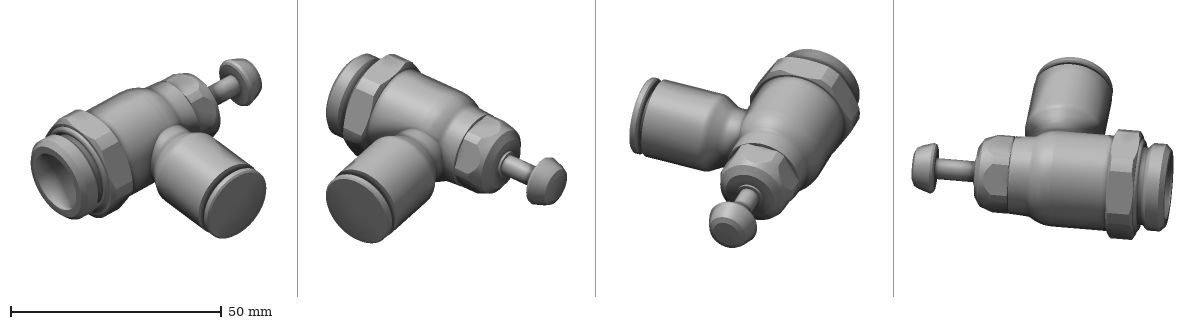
import cadquery as cq
import math


HEX_SIDES = 6

thread_end_y = -27.17
thread_radius = 10.45
thread_chamfer = 1.2
thread_length = 5.4
relief_radius = 9.25
bore_radius = 7.42
bore_depth = 20.0
seal_section_radius = 1.0
seal_centre_radius = 10.2
seal_protrusion = 0.85

hex_bottom_y = -20.04
hex_top_y = -13.6
hex_across_flats = 24.0
hex_corner_radius = 13.03
hex_chamfer_width = 1.08
hex_chamfer_angle = 30.0
hex_chamfer_height = hex_chamfer_width * math.tan(math.radians(hex_chamfer_angle))

body_radius = 22.8 / 2
shoulder_radius = 8.5
shoulder_length = 4.83
blend_length = 1.48
neck_base_radius = 9.5
neck_top_radius = 9.27
neck_top_y = 10.12

nut_bottom_y = 10.41
nut_across_flats = 17.0
nut_corner_radius = 9.28
nut_cone_start_y = 14.29
nut_cone_end_y = 17.39
nut_cone_end_radius = 8.14
nut_top_y = 18.68
nut_top_radius = 6.2
nut_spigot_radius = 8.45

stem_radius = 5.0 / 2
collar_radius = 3.3
collar_height = 0.55
knob_bottom_y = 28.56
knob_rim_y = 29.52
knob_top_y = 34.02
knob_rim_radius = 6.05
knob_taper_radius = 5.8
knob_base_radius = 5.25
knob_base_chamfer_height = 0.32
knob_crown_radius = 4.57
knob_crown_height = 0.58
knob_top_radius = 3.3
knob_bulge = 0.2

port_neck_radius = 7.3
port_radius = 9.48
port_blend_rise = 0.39
port_blend_start_x = 11.52
port_cone_start_x = 12.94
port_cone_end_x = 15.4
port_barrel_start_x = 16.86
port_barrel_end_x = 31.45
sleeve_radius = 6.6
ring_start_x = 32.87
ring_end_x = 34.74
ring_radius = 9.3
ring_chamfer = 0.4


def revolve_about_y(profile):
    return profile.close().revolve(360, (0, 0, 0), (0, 1, 0))


def chamfered_envelope(bottom_y, top_y, radius, chamfer_width, chamfer_height):
    """Turned envelope with the same conical chamfer on both ends."""
    face_radius = radius - chamfer_width
    return revolve_about_y(
        cq.Workplane("XY")
        .moveTo(0, bottom_y)
        .lineTo(face_radius, bottom_y)
        .lineTo(radius, bottom_y + chamfer_height)
        .lineTo(radius, top_y - chamfer_height)
        .lineTo(face_radius, top_y)
        .lineTo(0, top_y)
    )


def hexagon_prism(across_flats, bottom_y, top_y):
    """Hexagonal prism along Y with corners on the X axis and flats facing +Z and -Z."""
    corner_diameter = across_flats / math.cos(math.pi / HEX_SIDES)
    return (
        cq.Workplane("XZ", origin=(0, top_y, 0))
        .polygon(HEX_SIDES, corner_diameter)
        .extrude(top_y - bottom_y)
    )


def make_threaded_end():
    thread_start_y = thread_end_y + thread_length
    chamfered_radius = thread_radius - thread_chamfer
    turned = revolve_about_y(
        cq.Workplane("XY")
        .moveTo(0, thread_end_y)
        .lineTo(chamfered_radius, thread_end_y)
        .lineTo(thread_radius, thread_end_y + thread_chamfer)
        .lineTo(thread_radius, thread_start_y - thread_chamfer)
        .lineTo(relief_radius, thread_start_y)
        .lineTo(relief_radius, hex_bottom_y)
        .lineTo(0, hex_bottom_y)
    )
    seal_centre_y = hex_bottom_y - seal_protrusion + seal_section_radius
    seal = (
        cq.Workplane("XY")
        .center(seal_centre_radius, seal_centre_y)
        .circle(seal_section_radius)
        .revolve(360, (-seal_centre_radius, 0, 0), (-seal_centre_radius, 1, 0))
    )
    return turned.union(seal)


def make_hexagon():
    prism = hexagon_prism(hex_across_flats, hex_bottom_y, hex_top_y)
    envelope = chamfered_envelope(
        hex_bottom_y, hex_top_y, hex_corner_radius, hex_chamfer_width, hex_chamfer_height
    )
    return prism.intersect(envelope)


def make_body():
    """Barrel that narrows through a convex shoulder and a concave blend to the neck."""
    shoulder_angle = math.asin(shoulder_length / shoulder_radius)
    shoulder_centre = body_radius - shoulder_radius
    shoulder_mid = (
        shoulder_centre + shoulder_radius * math.cos(shoulder_angle / 2),
        shoulder_radius * math.sin(shoulder_angle / 2),
    )
    shoulder_end = (shoulder_centre + shoulder_radius * math.cos(shoulder_angle), shoulder_length)
    return revolve_about_y(
        cq.Workplane("XY")
        .moveTo(0, hex_top_y)
        .lineTo(body_radius, hex_top_y)
        .lineTo(body_radius, 0)
        .threePointArc(shoulder_mid, shoulder_end)
        .tangentArcPoint((neck_base_radius, shoulder_length + blend_length), relative=False)
        .lineTo(neck_top_radius, neck_top_y)
        .lineTo(0, neck_top_y)
    )


def make_lock_nut():
    prism = hexagon_prism(nut_across_flats, nut_bottom_y, nut_top_y)
    envelope = revolve_about_y(
        cq.Workplane("XY")
        .moveTo(0, nut_bottom_y)
        .lineTo(nut_corner_radius, nut_bottom_y)
        .lineTo(nut_corner_radius, nut_cone_start_y)
        .lineTo(nut_cone_end_radius, nut_cone_end_y)
        .lineTo(nut_top_radius, nut_top_y)
        .lineTo(0, nut_top_y)
    )
    spigot = (
        cq.Workplane("XZ", origin=(0, nut_bottom_y, 0))
        .circle(nut_spigot_radius)
        .extrude(nut_bottom_y - neck_top_y)
    )
    return prism.intersect(envelope).union(spigot)


def make_stem_and_knob():
    crown_y = knob_top_y - knob_crown_height
    side_mid = (
        (knob_rim_radius + knob_crown_radius) / 2 + knob_bulge,
        (knob_rim_y + crown_y) / 2,
    )
    return revolve_about_y(
        cq.Workplane("XY")
        .moveTo(0, nut_top_y)
        .lineTo(collar_radius, nut_top_y)
        .lineTo(collar_radius, nut_top_y + collar_height)
        .lineTo(stem_radius, nut_top_y + collar_height)
        .lineTo(stem_radius, knob_bottom_y)
        .lineTo(knob_base_radius, knob_bottom_y)
        .lineTo(knob_taper_radius, knob_bottom_y + knob_base_chamfer_height)
        .lineTo(knob_rim_radius, knob_rim_y)
        .threePointArc(side_mid, (knob_crown_radius, crown_y))
        .lineTo(knob_top_radius, knob_top_y)
        .lineTo(0, knob_top_y)
    )


def make_tube_port():
    """Side port: necked barrel, exposed sleeve and release ring."""
    profile = (
        cq.Workplane("XY")
        .moveTo(0, 0)
        .lineTo(0, port_neck_radius)
        .lineTo(port_blend_start_x, port_neck_radius)
        .tangentArcPoint((port_cone_start_x, port_neck_radius + port_blend_rise), relative=False)
        .lineTo(port_cone_end_x, port_radius - port_blend_rise)
        .tangentArcPoint((port_barrel_start_x, port_radius), relative=False)
        .lineTo(port_barrel_end_x, port_radius)
        .lineTo(port_barrel_end_x, sleeve_radius)
        .lineTo(ring_start_x, sleeve_radius)
        .lineTo(ring_start_x, ring_radius - ring_chamfer)
        .lineTo(ring_start_x + ring_chamfer, ring_radius)
        .lineTo(ring_end_x - ring_chamfer, ring_radius)
        .lineTo(ring_end_x, ring_radius - ring_chamfer)
        .lineTo(ring_end_x, 0)
    )
    return profile.close().revolve(360, (0, 0, 0), (1, 0, 0))


bore = (
    cq.Workplane("XZ", origin=(0, thread_end_y + bore_depth, 0))
    .circle(bore_radius)
    .extrude(bore_depth)
)

result = (
    make_body()
    .union(make_hexagon())
    .union(make_threaded_end())
    .union(make_lock_nut())
    .union(make_stem_and_knob())
    .union(make_tube_port())
    .cut(bore)
)